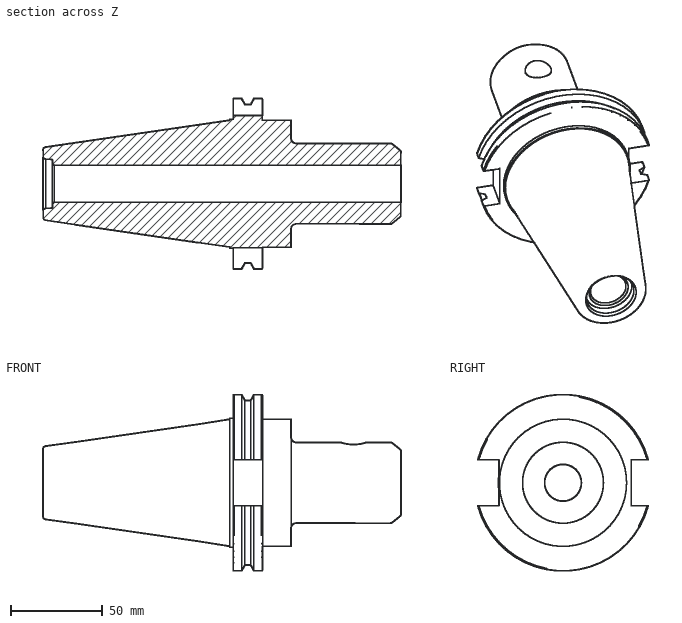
import cadquery as cq

taper_end = 102.5
flange_start = 104.5
flange_width = 16.1
flange_end = flange_start + flange_width
collar_end = 136.5
total_length = 196.9

taper_ratio = 7 / 24
gauge_diameter = 69.9
neck_diameter = 71.0
small_diameter = gauge_diameter - taper_ratio * taper_end
flange_diameter = 97.0
collar_diameter = 69.9
shank_diameter = 44.5

taper_edge_radius = 2.0
flange_edge_radius = 0.5
shank_root_radius = 2.8
nose_length = 5.3
nose_drop = 4.3
nose_edge_radius = 2.0

groove_top_width = 6.7
groove_bottom_width = 3.1
groove_depth = 3.1

slot_width = 25.2
slot_floor_plus_y = 37.6
slot_floor_minus_y = 35.2

bore_diameter = 20.0
bore_edge_diameter = 22.0
seat_diameter = 26.2
recess_diameter = 26.8
mouth_diameter = 28.5
mouth_depth = 1.5
recess_depth = 4.3
seat_depth = 5.3
bore_edge_depth = seat_depth + (bore_edge_diameter - bore_diameter) / 2

screw_hole_diameter = 14.4
screw_hole_x = 170.7


def revolve_profile(points):
    """Solid of revolution about X from (x, diameter) pairs, closed on the axis."""
    outline = [(x, diameter / 2) for x, diameter in points]
    first_x = points[0][0]
    last_x = points[-1][0]
    profile = cq.Workplane("XY").polyline([(first_x, 0), *outline, (last_x, 0)]).close()
    return profile.revolve(360, (0, 0, 0), (1, 0, 0))


def circle_at(solid, x, diameter):
    """Select the circular edge of the given diameter at station x."""
    margin = 0.2
    reach = diameter / 2 + margin
    return solid.edges(cq.selectors.BoxSelector(
        (x - margin, -reach, -reach),
        (x + margin, reach, reach),
        boundingbox=True,
    ))


def make_taper():
    taper = revolve_profile([
        (0, small_diameter),
        (taper_end, gauge_diameter),
        (taper_end, neck_diameter),
        (flange_start, neck_diameter),
    ])
    return taper.faces("<X").edges().fillet(taper_edge_radius)


def make_flange():
    middle = (flange_start + flange_end) / 2
    groove_diameter = flange_diameter - 2 * groove_depth
    disc = revolve_profile([(flange_start, flange_diameter), (flange_end, flange_diameter)])
    disc = disc.faces("<X or >X").edges().fillet(flange_edge_radius)
    groove_core = revolve_profile([
        (middle - groove_top_width / 2, flange_diameter),
        (middle - groove_bottom_width / 2, groove_diameter),
        (middle + groove_bottom_width / 2, groove_diameter),
        (middle + groove_top_width / 2, flange_diameter),
    ])
    groove_band = revolve_profile([
        (middle - groove_top_width / 2, flange_diameter),
        (middle + groove_top_width / 2, flange_diameter),
    ])
    return disc.cut(groove_band.cut(groove_core))


def make_slot(side, floor):
    """Cutter for the drive slot on the +Y (side = 1) or -Y (side = -1) flank."""
    reach = flange_diameter / 2
    depth = reach - floor
    cutter = cq.Workplane("XY").box(flange_width, depth, slot_width)
    return cutter.translate(((flange_start + flange_end) / 2, side * (floor + depth / 2), 0))


def make_shank():
    nose_start = total_length - nose_length
    nose_diameter = shank_diameter - 2 * nose_drop
    shank = revolve_profile([
        (flange_end, collar_diameter),
        (collar_end, collar_diameter),
        (collar_end, shank_diameter),
        (nose_start, shank_diameter),
        (total_length, nose_diameter),
    ])
    shank = circle_at(shank, collar_end, shank_diameter).fillet(shank_root_radius)
    shank = circle_at(shank, total_length, nose_diameter).fillet(nose_edge_radius)
    return circle_at(shank, nose_start, shank_diameter).fillet(nose_edge_radius)


def make_bore():
    return revolve_profile([
        (0, mouth_diameter),
        (mouth_depth, recess_diameter),
        (recess_depth, recess_diameter),
        (seat_depth, seat_diameter),
        (seat_depth, bore_edge_diameter),
        (bore_edge_depth, bore_diameter),
        (total_length, bore_diameter),
    ])


def make_screw_hole():
    hole = cq.Workplane("XY").center(screw_hole_x, 0).circle(screw_hole_diameter / 2)
    return hole.extrude(shank_diameter)


flange = make_flange()
flange = flange.cut(make_slot(1, slot_floor_plus_y)).cut(make_slot(-1, slot_floor_minus_y))
result = make_taper().union(flange).union(make_shank())
result = result.cut(make_bore()).cut(make_screw_hole())